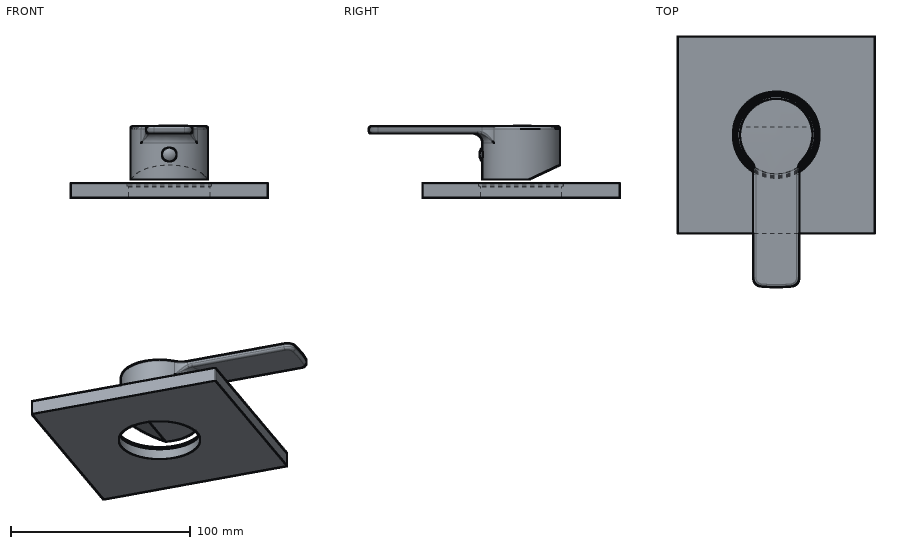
import cadquery as cq
import math

PLATE_SIDE = 110.0
PLATE_THICKNESS = 8.4
PLATE_EDGE_RADIUS = 0.5
BORE_RADIUS = 22.7
RECESS_RADIUS = 23.6
RECESS_DEPTH = 1.7
LIP_CHAMFER = 0.5

KNOB_RADIUS = 21.7
KNOB_BOTTOM = 10.2
KNOB_PEAK = 40.3
DOME_HEIGHT = 0.3
KNOB_TOP = KNOB_PEAK - DOME_HEIGHT
TOP_EDGE_RADIUS = 1.5

RELIEF_START_Y = 4.5
RELIEF_HEIGHT = 8.1

OVERALL_LENGTH = 139.9
LEVER_REACH = OVERALL_LENGTH - PLATE_SIDE / 2
LEVER_HALF_WIDTH = 12.9
LEVER_THICKNESS = 4.2
LEVER_BOTTOM = KNOB_TOP - LEVER_THICKNESS
LEVER_CORNER_RADIUS = 4.9
LEVER_LOWER_RADIUS = 1.5
FLARE_RADIUS = 10.0
UNDER_FILLET_RADIUS = 5.2

EDGE_TOLERANCE = 0.01

BUTTON_RADIUS = 4.0
BUTTON_SPHERE_RADIUS = 5.6
BUTTON_REACH = 23.2
BUTTON_Z = 24.2


def make_plate():
    plate = cq.Workplane("XY").box(PLATE_SIDE, PLATE_SIDE, PLATE_THICKNESS, centered=(True, True, False))
    plate = plate.edges("|Z or >Z").fillet(PLATE_EDGE_RADIUS)
    ledge_z = PLATE_THICKNESS - RECESS_DEPTH
    opening = (
        cq.Workplane("XZ")
        .moveTo(0, 0)
        .lineTo(BORE_RADIUS, 0)
        .lineTo(BORE_RADIUS, ledge_z - LIP_CHAMFER)
        .lineTo(BORE_RADIUS + LIP_CHAMFER, ledge_z)
        .lineTo(RECESS_RADIUS, ledge_z)
        .lineTo(RECESS_RADIUS, PLATE_THICKNESS - LIP_CHAMFER)
        .lineTo(RECESS_RADIUS + LIP_CHAMFER, PLATE_THICKNESS)
        .lineTo(0, PLATE_THICKNESS)
        .close()
        .revolve(360, (0, 0), (0, 1))
    )
    return plate.cut(opening)


def make_lever_prism(bottom, top):
    """Lever in plan, flared tangentially into the knob circle, as a prism."""
    flare_x = LEVER_HALF_WIDTH + FLARE_RADIUS
    flare_y = -math.sqrt((KNOB_RADIUS + FLARE_RADIUS) ** 2 - flare_x**2)
    flare_angle = math.atan2(-flare_y, flare_x)
    root_x = KNOB_RADIUS * math.cos(flare_angle)
    root_y = -KNOB_RADIUS * math.sin(flare_angle)
    mid_angle = flare_angle / 2
    mid_x = flare_x - FLARE_RADIUS * math.cos(mid_angle)
    mid_y = flare_y + FLARE_RADIUS * math.sin(mid_angle)
    tip_y = -math.sqrt(LEVER_REACH**2 - LEVER_HALF_WIDTH**2)
    prism = (
        cq.Workplane("XY", origin=(0, 0, bottom))
        .moveTo(root_x, root_y)
        .threePointArc((mid_x, mid_y), (LEVER_HALF_WIDTH, flare_y))
        .lineTo(LEVER_HALF_WIDTH, tip_y)
        .threePointArc((0, -LEVER_REACH), (-LEVER_HALF_WIDTH, tip_y))
        .lineTo(-LEVER_HALF_WIDTH, flare_y)
        .threePointArc((-mid_x, mid_y), (-root_x, root_y))
        .threePointArc((0, KNOB_RADIUS), (root_x, root_y))
        .close()
        .extrude(top - bottom)
    )
    return prism.edges("|Z").edges("<Y").fillet(LEVER_CORNER_RADIUS)


def make_under_fillet():
    """Concave fillet between knob wall and lever underside, trimmed to the lever's plan."""
    base_z = LEVER_BOTTOM - UNDER_FILLET_RADIUS
    outer_radius = KNOB_RADIUS + UNDER_FILLET_RADIUS
    diagonal = UNDER_FILLET_RADIUS * math.sqrt(0.5)
    ring = (
        cq.Workplane("XZ")
        .moveTo(0, base_z)
        .lineTo(KNOB_RADIUS, base_z)
        .threePointArc((outer_radius - diagonal, base_z + diagonal), (outer_radius, LEVER_BOTTOM))
        .lineTo(0, LEVER_BOTTOM)
        .close()
        .revolve(360, (0, 0), (0, 1))
    )
    return ring.intersect(make_lever_prism(base_z, LEVER_BOTTOM))


def make_button():
    centre_y = BUTTON_SPHERE_RADIUS - BUTTON_REACH
    ball = cq.Workplane("XY", origin=(0, centre_y, BUTTON_Z)).sphere(BUTTON_SPHERE_RADIUS)
    sleeve = (
        cq.Workplane("XZ", origin=(0, 0, BUTTON_Z))
        .circle(BUTTON_RADIUS)
        .extrude(BUTTON_REACH)
    )
    return ball.intersect(sleeve)


def make_dome(flat_handle):
    """Shallow spherical cap, trimmed to the flat top left inside the rounded rim."""
    sphere_radius = (KNOB_RADIUS**2 + DOME_HEIGHT**2) / (2 * DOME_HEIGHT)
    cap = (
        cq.Workplane("XZ")
        .moveTo(0, KNOB_TOP)
        .lineTo(KNOB_RADIUS, KNOB_TOP)
        .radiusArc((0, KNOB_PEAK), -sphere_radius)
        .close()
        .revolve(360, (0, 0), (0, 1))
    )
    return cap.intersect(flat_handle.faces(">Z").wires().toPending().extrude(DOME_HEIGHT, combine=False))


def make_relief():
    """Wedge that slopes up from the knob's underside to its rear."""
    return (
        cq.Workplane("YZ", origin=(-KNOB_RADIUS, 0, 0))
        .moveTo(RELIEF_START_Y, KNOB_BOTTOM)
        .lineTo(KNOB_RADIUS, KNOB_BOTTOM)
        .lineTo(KNOB_RADIUS, KNOB_BOTTOM + RELIEF_HEIGHT)
        .close()
        .extrude(2 * KNOB_RADIUS)
    )


def is_lower_lever_edge(edge):
    """True for the lever's lower rim and for the mitres where it runs into the knob."""
    box = edge.BoundingBox()
    in_height = box.zmin > KNOB_BOTTOM + EDGE_TOLERANCE and box.zmax < LEVER_BOTTOM + EDGE_TOLERANCE
    centre = edge.Center()
    on_side = abs(centre.x) > LEVER_HALF_WIDTH - LEVER_CORNER_RADIUS
    at_tip = centre.y < -(KNOB_RADIUS + FLARE_RADIUS)
    return in_height and (on_side or at_tip)


def make_handle():
    knob = cq.Workplane("XY", origin=(0, 0, KNOB_BOTTOM)).circle(KNOB_RADIUS).extrude(KNOB_TOP - KNOB_BOTTOM)
    handle = knob.union(make_lever_prism(LEVER_BOTTOM, KNOB_TOP)).union(make_under_fillet())
    lower_edges = [edge for edge in handle.edges().vals() if is_lower_lever_edge(edge)]
    handle = handle.newObject(lower_edges).fillet(LEVER_LOWER_RADIUS)
    handle = handle.faces(">Z").edges().fillet(TOP_EDGE_RADIUS)
    handle = handle.union(make_dome(handle))
    return handle.cut(make_relief()).union(make_button())


plate = make_plate()
handle = make_handle()
result = cq.Compound.makeCompound([plate.val(), handle.val()])